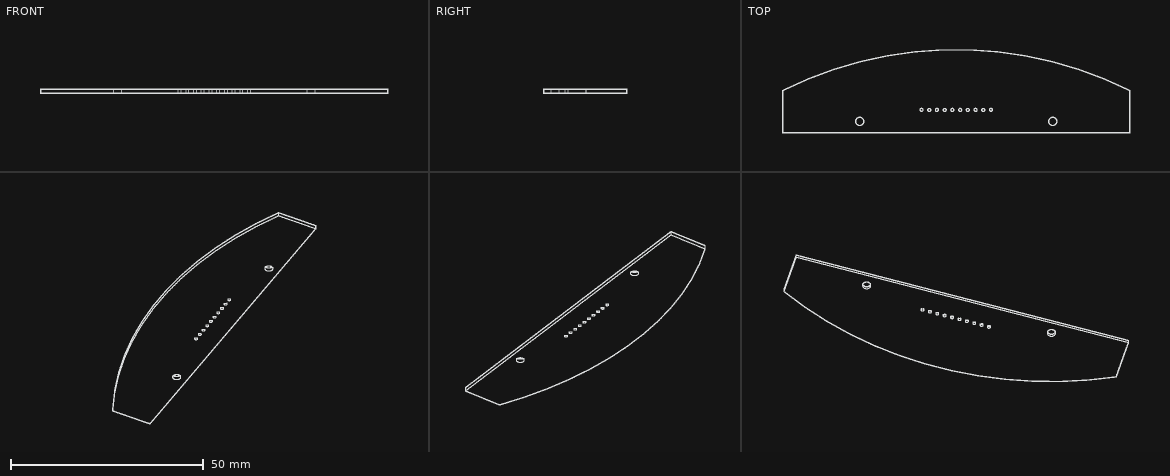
import cadquery as cq

length = 90.0
depth = 21.6
thickness = 1.1
end_height = 11.0

mount_diameter = 2.1
mount_spacing = 50.0
mount_height = 3.0

pin_diameter = 0.75
pin_count = 10
pin_row_length = 18.0
pin_pitch = pin_row_length / (pin_count - 1)
pin_height = 5.9


def make_plate():
    """Flat plate with a straight front edge and an arched back edge."""
    return (
        cq.Workplane("XY")
        .moveTo(-length / 2, 0)
        .lineTo(length / 2, 0)
        .lineTo(length / 2, end_height)
        .threePointArc((0, depth), (-length / 2, end_height))
        .close()
        .extrude(thickness)
    )


def make_hole_row(diameter, count, pitch, height):
    """Through-hole cutters in a row along X, centred on the plate."""
    first_x = -pitch * (count - 1) / 2
    centres = [(first_x + i * pitch, height) for i in range(count)]
    return cq.Workplane("XY").pushPoints(centres).circle(diameter / 2).extrude(thickness)


mount_holes = make_hole_row(mount_diameter, 2, mount_spacing, mount_height)
pin_holes = make_hole_row(pin_diameter, pin_count, pin_pitch, pin_height)

result = make_plate().cut(mount_holes).cut(pin_holes)